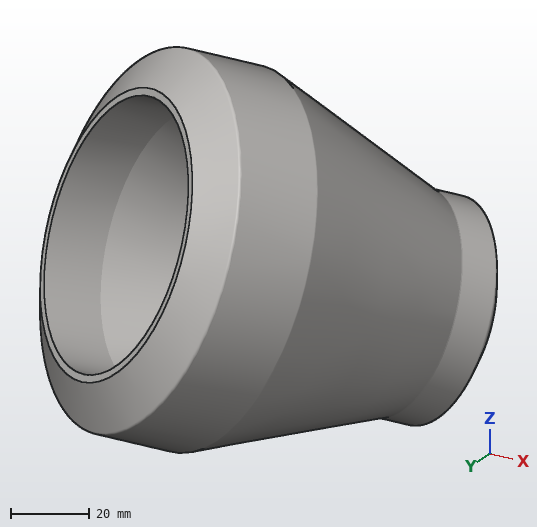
import cadquery as cq
import math

length = 100.0
large_diameter = 101.6
large_bore = 73.2
small_diameter = 60.4
small_bore = 40.3
land = 2.0
bevel_angle = 30.0
large_end_length = 30.0
small_end_length = 15.0
straight_bore_length = 16.8
edge_rounding = 1.0
position_tolerance = 0.01

large_radius = large_diameter / 2
large_bore_radius = large_bore / 2
small_radius = small_diameter / 2
small_bore_radius = small_bore / 2
large_land_radius = large_bore_radius + land
small_land_radius = small_bore_radius + land
cone_end = length - small_end_length


def bevel_length(outer_radius, land_radius):
    """Axial length of a bevel from the land out to the full radius."""
    return (outer_radius - land_radius) * math.tan(math.radians(bevel_angle))


large_bevel = bevel_length(large_radius, large_land_radius)
small_bevel = bevel_length(small_radius, small_land_radius)

wall_section = [
    (0, large_bore_radius),
    (0, large_land_radius),
    (large_bevel, large_radius),
    (large_end_length, large_radius),
    (cone_end, small_radius),
    (length - small_bevel, small_radius),
    (length, small_land_radius),
    (length, small_bore_radius),
    (length - straight_bore_length, small_bore_radius),
    (straight_bore_length, large_bore_radius),
]

reducer = cq.Workplane("XY").polyline(wall_section).close().revolve(360, (0, 0, 0), (1, 0, 0))

rounded_edge_positions = [large_bevel, large_end_length, cone_end, length - small_bevel]


def is_rounded_edge(edge):
    """True for an outer circle lying at one of the rounded positions."""
    if edge.radius() < small_radius - position_tolerance:
        return False
    centre = edge.arcCenter().x
    return any(abs(centre - position) < position_tolerance for position in rounded_edge_positions)


rounded_edges = [edge for edge in reducer.edges("%CIRCLE").vals() if is_rounded_edge(edge)]
result = reducer.newObject(rounded_edges).fillet(edge_rounding)